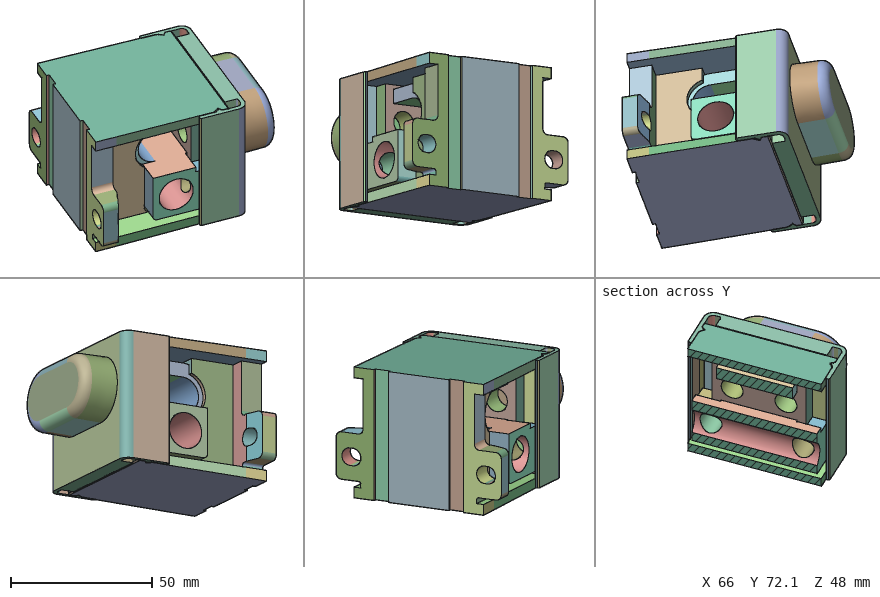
import cadquery as cq


body_half_x = 25.9
body_half_z = 24.0
body_top = 51.85
base_depth = 8.2
side_draft = 0.35
face_draft = 0.4
body_edge_chamfer = 0.5
cavity_half_z = 20.05
groove_inner_x = 12.05
groove_outer_x = 17.8
groove_depth = 1.1

notch_low = 45.35
notch_tip_x = 24.0
notch_tip_y = 48.1
notch_high = 49.45

upper_recess_x = 22.3
lower_recess_x = 23.15
upper_recess_fillet = 1.95
lower_recess_fillet = 0.9

ear_span = 66.0
ear_half_span = ear_span / 2
ear_top = -0.35
ear_bottom = -17.8
ear_tip_depth = 5.7
ear_corner_radius = 2.1
ear_slot_length = 7.5
ear_slot_width = 6.4
ear_slot_x = 26.9
ear_mid_z = (ear_top + ear_bottom) / 2

core_half_x = 16.4
core_top_upper = 25.15
core_top_lower = 23.0
core_fillet = 2.3
ring_half_x = 14.65
ring_recess_radius = 8.35
ring_outer_radius = 11.75
channel_radius = 6.55
channel_y = 27.9
channel_z = 6.7

block_half_x = 24.0
block_top_z = channel_z - channel_radius
block_bottom_z = -18.4
block_back = 39.6
block_step_z = -1.7
block_fillet = 1.6
bore_radius = 6.55
bore_y = 31.95
bore_z = -9.4

carrier_front = 40.2
carrier_half_x = 18
deck_front = 46.1
deck_half_x = 23.35
screw_radius = 4.2
upper_screw_x = 10.3
lower_screw_x = 17.7
screw_depth_end = 49

cover_half_x = 27.2
cover_half_z = 23.4
cover_top = 58.5
cover_leg_end = 39.9
cover_wall = 1.65
cover_radius = 3.6
cover_leg_chamfer = 0.5
cover_pad_x = 21.35
cover_pad_fillet = 0.6
bump_tip_x = 24.3
bump_tip_y = 48.2
bump_low = 46.7
bump_high = 49.25

cap_top = 72.1
cap_straight = 19.75
cap_width = 24.0
cap_z = 5.2
cap_draft = 1
cap_edge_radius = 3.6


def box(x_range, y_range, z_range):
    """Axis-aligned box between the given limits."""
    (x0, x1), (y0, y1), (z0, z1) = x_range, y_range, z_range
    return cq.Workplane("XY").box(x1 - x0, y1 - y0, z1 - z0, centered=False).translate((x0, y0, z0))


def wide_box(half_x, y_range, z_range):
    """Box centred on X = 0."""
    return box((-half_x, half_x), y_range, z_range)


def section(y):
    """Sketch plane facing +Y: local x runs along -X, local y along +Z."""
    return cq.Workplane(cq.Plane(origin=(0, y, 0), xDir=(-1, 0, 0), normal=(0, 1, 0)))


def cross_cylinder(radius, half_x, y, z):
    """Cylinder along X, centred on X = 0."""
    return cq.Workplane("YZ").center(y, z).circle(radius).extrude(half_x, both=True)


def mirror_pair(shape):
    """The shape together with its mirror image across X = 0."""
    return shape.union(shape.mirror("YZ"))


def vee(tip_x, tip_y, low, high, root_x, half_z):
    """Triangular prism along Z, used for the snap notch and the snap bump."""
    points = [(-root_x, low), (-tip_x, tip_y), (-root_x, high)]
    return cq.Workplane("XY").polyline(points).close().extrude(half_z, both=True)


def make_housing():
    plan = (
        cq.Workplane("XY")
        .polyline([
            (-body_half_x, 0),
            (body_half_x, 0),
            (body_half_x, base_depth),
            (body_half_x - side_draft, body_top),
            (side_draft - body_half_x, body_top),
            (-body_half_x, base_depth),
        ])
        .close().extrude(body_half_z, both=True)
    )
    side = (
        cq.Workplane("YZ")
        .polyline([
            (0, -body_half_z),
            (body_top, face_draft - body_half_z),
            (body_top, body_half_z - face_draft),
            (0, body_half_z),
        ])
        .close().extrude(body_half_x, both=True)
    )
    block = plan.intersect(side).faces(">Y").edges().chamfer(body_edge_chamfer)
    cavity = wide_box(body_half_x, (base_depth, body_top), (-cavity_half_z, cavity_half_z))
    notch = vee(notch_tip_x, notch_tip_y, notch_low, notch_high, body_half_x, body_half_z)
    groove = box((groove_inner_x, groove_outer_x), (0, groove_depth), (-body_half_z, body_half_z))
    return block.cut(cavity).cut(mirror_pair(notch)).cut(mirror_pair(groove))


def make_base_recesses():
    """Openings at the -X and +X ends of the base, above and below the ears."""
    upper = box(
        (-body_half_x, -upper_recess_x), (0, base_depth), (ear_top, cavity_half_z)
    ).edges("|Y and >X and <Z").fillet(upper_recess_fillet)
    lower = box(
        (-body_half_x, -lower_recess_x), (0, base_depth), (-cavity_half_z, ear_bottom)
    ).edges("|Y and >X and >Z").fillet(lower_recess_fillet)
    return mirror_pair(upper.union(lower))


def make_ears():
    profile = [
        (-body_half_x, 0),
        (-ear_half_span, 0),
        (-ear_half_span, ear_tip_depth),
        (-body_half_x, base_depth),
    ]
    ear = (
        cq.Workplane("XY", origin=(0, 0, ear_bottom))
        .polyline(profile).close().extrude(ear_top - ear_bottom)
        .edges("<X and |Y").fillet(ear_corner_radius)
    )
    return mirror_pair(ear)


def make_ear_slots():
    slot = section(0).center(ear_slot_x, ear_mid_z).slot2D(ear_slot_length, ear_slot_width)
    return mirror_pair(slot.extrude(base_depth))


def make_core():
    profile = (
        cq.Workplane("YZ")
        .moveTo(base_depth, -cavity_half_z)
        .lineTo(core_top_lower + core_fillet, -cavity_half_z)
        .radiusArc((core_top_lower, core_fillet - cavity_half_z), core_fillet)
        .lineTo(core_top_lower, block_top_z)
        .lineTo(core_top_upper, block_top_z)
        .lineTo(core_top_upper, cavity_half_z)
        .lineTo(base_depth, cavity_half_z)
        .close()
    )
    core = profile.extrude(core_half_x, both=True)
    return core.cut(cross_cylinder(ring_recess_radius, core_half_x, channel_y, channel_z))


def make_channel_body():
    """U-shaped body around the upper wire channel."""
    round_end = cross_cylinder(ring_outer_radius, ring_half_x, channel_y, channel_z)
    z_range = (channel_z - ring_outer_radius, channel_z + ring_outer_radius)
    return round_end.union(wide_box(ring_half_x, (channel_y, carrier_front), z_range))


def make_channel():
    round_end = cross_cylinder(channel_radius, body_half_x, channel_y, channel_z)
    z_range = (channel_z - channel_radius, channel_z + channel_radius)
    return round_end.union(wide_box(body_half_x, (channel_y, carrier_front), z_range))


def make_terminal_block():
    """Block on the lower part of the core, with a lowered tail that reaches the deck."""
    block = wide_box(block_half_x, (core_top_lower, deck_front), (block_bottom_z, block_top_z))
    block = block.cut(wide_box(block_half_x, (block_back, deck_front), (block_step_z, block_top_z)))
    return block.edges("|X and <Y and <Z").fillet(block_fillet)


def make_carrier():
    carrier = wide_box(carrier_half_x, (carrier_front, deck_front), (block_step_z, cavity_half_z))
    deck = wide_box(deck_half_x, (deck_front, body_top), (-cavity_half_z, cavity_half_z))
    return carrier.union(deck)


def make_screw_holes():
    """Blind holes along Y that open into the channel and the bore."""
    upper = section(channel_y).center(upper_screw_x, channel_z).circle(screw_radius)
    lower = section(bore_y).center(lower_screw_x, bore_z).circle(screw_radius)
    holes = upper.extrude(screw_depth_end - channel_y).union(lower.extrude(screw_depth_end - bore_y))
    return mirror_pair(holes)


def make_cover():
    inner_x = cover_half_x - cover_wall
    inner_top = cover_top - cover_wall
    z_range = (-cover_half_z, cover_half_z)
    shell = wide_box(cover_half_x, (cover_leg_end, cover_top), z_range)
    shell = shell.edges("|Z and >Y").fillet(cover_radius)
    hollow = wide_box(inner_x, (cover_leg_end, inner_top), z_range)
    hollow = hollow.edges("|Z and >Y").fillet(cover_radius - cover_wall)
    side_gap = box((cover_pad_x, inner_x), (body_top, inner_top), z_range)
    side_gap = side_gap.edges("|Z and <X and >Y").fillet(cover_pad_fillet)
    pad = wide_box(inner_x, (body_top, inner_top), z_range).cut(mirror_pair(side_gap))
    bump = vee(bump_tip_x, bump_tip_y, bump_low, bump_high, inner_x, cover_half_z)
    legs = shell.cut(hollow).edges("|Z and <Y").chamfer(cover_leg_chamfer)
    return legs.union(pad.intersect(hollow)).union(mirror_pair(bump))


def make_cap():
    return (
        section(cover_top)
        .center(0, cap_z)
        .slot2D(cap_straight + cap_width, cap_width)
        .extrude(cap_top - cover_top, taper=cap_draft)
        .faces(">Y").edges().fillet(cap_edge_radius)
    )


result = (
    make_housing()
    .cut(make_base_recesses())
    .union(make_ears())
    .cut(make_ear_slots())
    .union(make_core())
    .union(make_channel_body())
    .union(make_terminal_block())
    .union(make_carrier())
    .cut(make_channel())
    .cut(cross_cylinder(bore_radius, body_half_x, bore_y, bore_z))
    .cut(make_screw_holes())
    .union(make_cover())
    .union(make_cap())
)